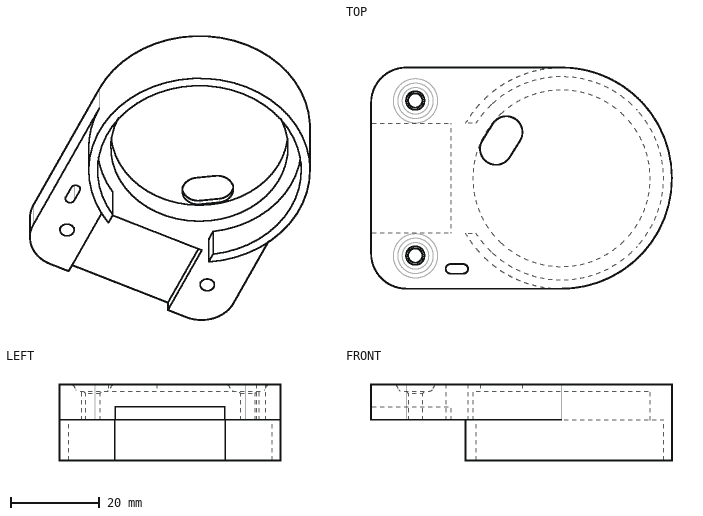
import cadquery as cq
import math

width = 50.0
length = 67.98
height = 17.2
cup_depth = 9.2
nose_radius = width / 2
nose_x = length - nose_radius
corner_radius = 8.0

cup_inner_radius = 23.0
plate_recess_radius = 20.0
roof_thickness = 1.5

doorway_width = 25.0
notch_width = 24.75
notch_height = 3.0
notch_length = nose_x - nose_radius

screw_x = 10.0
screw_y = 17.5
screw_radius = 1.6
screw_chamfer = 0.5
dish_outer_radius = 5.0
dish_middle_radius = 4.0
dish_floor_radius = 3.0
dish_depth = 1.5

window_width = 7.2
window_centre_distance = 4.4
window_orbit_radius = 16.0
window_angle = 148.0

slot_x = 19.4
slot_y = -20.5
slot_length = 5.0
slot_width = 2.1


def cylinder(radius, bottom, top):
    """Upright cylinder on the nose axis."""
    return cq.Workplane("XY", origin=(nose_x, 0, bottom)).circle(radius).extrude(top - bottom)


def opening_box(x_end, box_width, bottom, top):
    """Centred box whose +X face is at x_end and which reaches past the straight end."""
    return (
        cq.Workplane("XY", origin=(0, 0, bottom))
        .rect(2 * x_end, box_width)
        .extrude(top - bottom)
    )


def make_plate():
    half = width / 2
    plate = (
        cq.Workplane("XY", origin=(0, 0, cup_depth))
        .moveTo(0, -half)
        .lineTo(nose_x, -half)
        .threePointArc((length, 0), (nose_x, half))
        .lineTo(0, half)
        .close()
        .extrude(height - cup_depth)
    )
    return plate.edges("|Z and <X").fillet(corner_radius)


def make_screw_cutter():
    """Dish, chamfer and through hole as one revolved profile, with its axis on Z."""
    floor = height - dish_depth
    middle = height - dish_depth / 2
    step_width = dish_outer_radius - dish_middle_radius
    step_height = dish_depth / 2
    arc_radius = (step_width**2 + step_height**2) / (2 * step_height)
    half_turn = math.asin(step_width / arc_radius) / 2
    run = arc_radius * math.sin(half_turn)
    drop = arc_radius * (1 - math.cos(half_turn))
    return (
        cq.Workplane("XZ")
        .moveTo(0, height)
        .lineTo(dish_outer_radius, height)
        .threePointArc((dish_outer_radius - run, height - drop), (dish_middle_radius, middle))
        .threePointArc((dish_floor_radius + run, floor + drop), (dish_floor_radius, floor))
        .lineTo(screw_radius + screw_chamfer, floor)
        .lineTo(screw_radius, floor - screw_chamfer)
        .lineTo(screw_radius, 0)
        .lineTo(0, 0)
        .close()
        .revolve(360, (0, 0, 0), (0, 1, 0))
    )


def make_window_cutter():
    angle = math.radians(window_angle)
    x = nose_x + window_orbit_radius * math.cos(angle)
    y = window_orbit_radius * math.sin(angle)
    return (
        cq.Workplane("XY")
        .center(x, y)
        .slot2D(window_centre_distance + window_width, window_width, window_angle - 90)
        .extrude(height)
    )


def make_slot_cutter():
    return cq.Workplane("XY").center(slot_x, slot_y).slot2D(slot_length, slot_width).extrude(height)


body = make_plate().union(cylinder(nose_radius, 0, cup_depth))
body = body.cut(cylinder(cup_inner_radius, 0, cup_depth))
body = body.cut(cylinder(plate_recess_radius, cup_depth, height - roof_thickness))

body = body.cut(opening_box(nose_x, doorway_width, 0, cup_depth))
body = body.cut(opening_box(notch_length, notch_width, cup_depth, cup_depth + notch_height))

for side in (-1, 1):
    body = body.cut(make_screw_cutter().translate((screw_x, side * screw_y, 0)))
body = body.cut(make_window_cutter())
result = body.cut(make_slot_cutter())